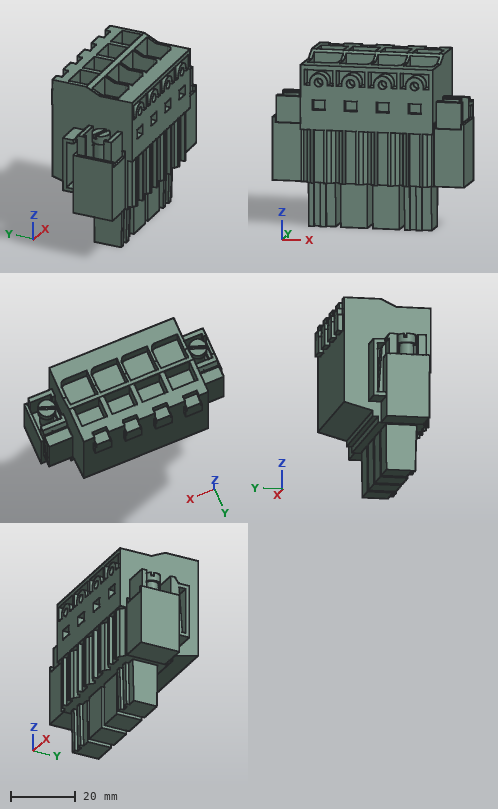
import cadquery as cq
import math


OVERALL_WIDTH = 60.9
POLES = 4
PITCH = 10.2
EPS = 0.6

HOUSING_WIDTH = 42.0
HOUSING_DEPTH = 27.4
HOUSING_BOTTOM = 14.5
FRONT_TOP = 51.6
REAR_TOP = 53.9
SLOPE_FRONT_Y = 10.95
SLOPE_REAR_Y = 15.8
FOOT_REAR_Y = 16.6
LEDGE_Z = 16.45
LEDGE_REAR_Y = 18.35
BEVEL_LOW_Z = 18.15
BEVEL_HIGH_Z = 20.6

WELL_FLOOR = 46.8
REAR_WELL_WIDTH = 8.45
REAR_WELL_Y = (15.9, 22.5)
FRONT_WELL_WIDTH = 9.25
FRONT_WELL_Y = (5.35, 14.25)
WELL_CORNER_RADIUS = 1.9

WINDOW_WIDTH = 9.1
WINDOW_BOTTOM = 45.3
WINDOW_TOP = 50.1
WINDOW_DEPTH = 4.25
BOSS_RADIUS = 2.8
BOSS_CENTRE_Z = 46.2
BOSS_HOLE_RADIUS = 1.3
SLOT_WIDTH = 4.1
SLOT_BOTTOM = 37.5
SLOT_TOP = 40.7
SLOT_DEPTH = 2.1

RIB_TOP = 31.25
RIB_WIDTH = 5.1
RIB_PANEL_WIDTH = 3.5
RIB_PANEL_DEPTH = 1.35
RIB_SIDE_DEPTH = 0.25
FLUTE_RADIUS = 1.3
FLUTE_RIM_DEPTH = 0.85
SHOULDER_WIDTH = 1.3

PLUG_WIDTH = 8.35
PLUG_REAR_Y = 13.9
PLUG_TIP_REAR_Y = 13.7
KEYED_PLUG_FRONT_Y = 4.2
KEYED_PLUG_TIP_FRONT_Y = 4.55
PLAIN_PLUG_FRONT_Y = 5.0
KEY_DEPTH = 1.05
KEY_GROOVE_X = (-2.55, -0.5)
KEY_STEP_X = 1.3

LEVER_OFFSET = -0.25
LEVER_STEM_WIDTH = 4.7
LEVER_PAD_WIDTH = 5.55
LEVER_FRONT_Y = 25.6
LEVER_REAR_Y = 28.9
LEVER_BOTTOM = 43.85
LEVER_PAD_TOP = 49.0
LEVER_TOP = 51.0

CUP_FRONT_Y = 2.3
CUP_REAR_Y = 15.8
CUP_TOP = 34.4
CUP_FRONT_TOP = 32.7
CUP_WALL = 0.85
CUP_OUTER_WALL = 1.0
TOWER_WIDTH = 8.05
TOWER_TOP = 41.0
LIP_WIDTH = 1.05
LIP_GAP_Y = (5.7, 12.2)
LIP_GAP_FLOOR = 32.7
CHANNEL_Y = (4.75, 13.2)
CHANNEL_FLOOR = 30.15
HOOK_Z = 39.35
HOOK_TOP_Y = 14.75
FRAME_REAR_Y = 19.8
FRAME_BAR = 1.3
FRAME_BOTTOM = 21.0
FRAME_TOP = 39.1
FRAME_TOP_FRONT_Y = 16.15
WEB_WIDTH = 3.05
WEB_FOOT_Y = 17.3

SCREW_Y = 8.6
SCREW_HEAD_RADIUS = 2.8
SCREW_SHANK_RADIUS = 2.2
SCREW_HEAD_BOTTOM = 38.75
SCREW_TOP = 41.55
SCREW_SLOT_WIDTH = 0.9
SCREW_SLOT_DEPTH = 1.1
SCREW_SLOT_ANGLE = -20.0

POLE_XS = [(i - (POLES - 1) / 2) * PITCH for i in range(POLES)]
GROOVE_XS = [(i - POLES / 2) * PITCH for i in range(POLES + 1)]
TOWER_X = OVERALL_WIDTH / 2 - CUP_OUTER_WALL - TOWER_WIDTH / 2


def block(x_range, y_range, z_range):
    """Box between two limits on each axis."""
    (x0, x1), (y0, y1), (z0, z1) = x_range, y_range, z_range
    return cq.Workplane("XY").box(x1 - x0, y1 - y0, z1 - z0, centered=False).translate((x0, y0, z0))


def span(centre, width):
    """Limits of a width centred on a place."""
    return centre - width / 2, centre + width / 2


def side_profile(points, x_range):
    """Prism with a (Y, Z) outline between two X limits."""
    x0, x1 = x_range
    return cq.Workplane("YZ", origin=(x0, 0, 0)).polyline(points).close().extrude(x1 - x0)


def housing_block():
    outline = [
        (0, HOUSING_BOTTOM),
        (0, FRONT_TOP),
        (SLOPE_FRONT_Y, FRONT_TOP),
        (SLOPE_REAR_Y, REAR_TOP),
        (HOUSING_DEPTH, REAR_TOP),
        (HOUSING_DEPTH, BEVEL_HIGH_Z),
        (LEDGE_REAR_Y, BEVEL_LOW_Z),
        (LEDGE_REAR_Y, LEDGE_Z),
        (FOOT_REAR_Y, LEDGE_Z),
        (FOOT_REAR_Y, HOUSING_BOTTOM),
    ]
    return side_profile(outline, span(0, HOUSING_WIDTH))


def top_wells(x):
    depth_range = (WELL_FLOOR, REAR_TOP + EPS)
    rear = block(span(x, REAR_WELL_WIDTH), REAR_WELL_Y, depth_range)
    front = block(span(x, FRONT_WELL_WIDTH), FRONT_WELL_Y, depth_range)
    front = front.edges("|Z and >X and <Y").fillet(WELL_CORNER_RADIUS)
    return rear.union(front)


def front_window(x):
    """Window with an arched boss left standing in its lower middle."""
    window = block(span(x, WINDOW_WIDTH), (-EPS, WINDOW_DEPTH), (WINDOW_BOTTOM, WINDOW_TOP))
    legs = block(span(x, 2 * BOSS_RADIUS), (-EPS, WINDOW_DEPTH), (WINDOW_BOTTOM - EPS, BOSS_CENTRE_Z))
    return window.cut(front_cylinder(x, BOSS_RADIUS)).cut(legs)


def front_cylinder(x, radius):
    """Cylinder about the boss axis, as deep as the window."""
    plane = cq.Workplane("XZ", origin=(x, -EPS, BOSS_CENTRE_Z))
    return plane.circle(radius).extrude(-(WINDOW_DEPTH + EPS))


def test_slot(x):
    return block(span(x, SLOT_WIDTH), (-EPS, SLOT_DEPTH), (SLOT_BOTTOM, SLOT_TOP))


def rib_groove(x):
    """Groove between two ribs: sloped shoulders, a flat flank on the left, a hollow flute on the right."""
    right = x + (PITCH - RIB_WIDTH) / 2
    left = x - (PITCH - RIB_WIDTH) / 2
    flute_right = right - SHOULDER_WIDTH
    flute_left = flute_right - FLUTE_RADIUS
    flute_bottom = FLUTE_RIM_DEPTH + FLUTE_RADIUS
    diagonal = FLUTE_RADIUS * math.sqrt(0.5)
    return (
        cq.Workplane("XY", origin=(0, 0, HOUSING_BOTTOM - EPS))
        .moveTo(right, -EPS)
        .lineTo(right, RIB_SIDE_DEPTH)
        .lineTo(flute_right, FLUTE_RIM_DEPTH)
        .threePointArc((flute_left + diagonal, FLUTE_RIM_DEPTH + diagonal), (flute_left, flute_bottom))
        .lineTo(left + SHOULDER_WIDTH, FLUTE_RIM_DEPTH)
        .lineTo(left, RIB_SIDE_DEPTH)
        .lineTo(left, -EPS)
        .close()
        .extrude(RIB_TOP - HOUSING_BOTTOM + EPS)
    )


def rib_panel(x):
    return block(span(x, RIB_PANEL_WIDTH), (-EPS, RIB_PANEL_DEPTH), (HOUSING_BOTTOM - EPS, RIB_TOP))


def plug(x, front_y, tip_front_y):
    outline = [
        (front_y, HOUSING_BOTTOM),
        (PLUG_REAR_Y, HOUSING_BOTTOM),
        (PLUG_TIP_REAR_Y, 0),
        (tip_front_y, 0),
    ]
    return side_profile(outline, span(x, PLUG_WIDTH))


def keyed_plug(x):
    """Plug whose front has a coding groove and a set-back right part."""
    body = plug(x, KEYED_PLUG_FRONT_Y, KEYED_PLUG_TIP_FRONT_Y)
    key_outline = [
        (0, HOUSING_BOTTOM),
        (KEYED_PLUG_FRONT_Y + KEY_DEPTH, HOUSING_BOTTOM),
        (KEYED_PLUG_TIP_FRONT_Y + KEY_DEPTH, 0),
        (0, 0),
    ]
    groove = side_profile(key_outline, (x + KEY_GROOVE_X[0], x + KEY_GROOVE_X[1]))
    step = side_profile(key_outline, (x + KEY_STEP_X, x + PLUG_WIDTH / 2 + EPS))
    return body.cut(groove).cut(step)


def lever_notch(x):
    """Notch in the top rear edge that holds a lever's stem."""
    stem_range = span(x + LEVER_OFFSET, LEVER_STEM_WIDTH)
    return block(stem_range, (LEVER_FRONT_Y, HOUSING_DEPTH + EPS), (LEVER_BOTTOM, REAR_TOP + EPS))


def make_housing():
    body = housing_block()
    for x in GROOVE_XS:
        body = body.cut(rib_groove(x))
    for x in POLE_XS:
        body = body.cut(top_wells(x)).cut(front_window(x)).cut(front_cylinder(x, BOSS_HOLE_RADIUS))
        body = body.cut(test_slot(x)).cut(rib_panel(x)).cut(lever_notch(x))
    for x in POLE_XS[1:-1]:
        body = body.union(plug(x, PLAIN_PLUG_FRONT_Y, PLAIN_PLUG_FRONT_Y))
    for x in (POLE_XS[0], POLE_XS[-1]):
        body = body.union(keyed_plug(x))
    return body


def make_lever(pole_x):
    """Stem filling the notch, with a wider finger pad behind the housing."""
    x = pole_x + LEVER_OFFSET
    stem = block(span(x, LEVER_STEM_WIDTH), (LEVER_FRONT_Y, LEVER_REAR_Y), (LEVER_BOTTOM, LEVER_TOP))
    pad = block(span(x, LEVER_PAD_WIDTH), (HOUSING_DEPTH, LEVER_REAR_Y), (LEVER_BOTTOM, LEVER_PAD_TOP))
    return stem.union(pad)


def flange_cup(side):
    """Block beside the housing, its front wall lowered in front of the tower."""
    inner_x = side * HOUSING_WIDTH / 2
    outer_x = side * OVERALL_WIDTH / 2
    cup_x = (min(inner_x, outer_x), max(inner_x, outer_x))
    cup = block(cup_x, (CUP_FRONT_Y, CUP_REAR_Y), (HOUSING_BOTTOM, CUP_TOP))
    front_y = (CUP_FRONT_Y - EPS, CUP_FRONT_Y + CUP_WALL)
    relief = block(span(side * TOWER_X, TOWER_WIDTH), front_y, (CUP_FRONT_TOP, CUP_TOP + EPS))
    return cup.cut(relief)


def flange_tower(tower_x):
    """Upright block with a hook along its rear top edge."""
    rear_y = CUP_REAR_Y - CUP_WALL
    outline = [
        (CUP_FRONT_Y + CUP_WALL, CHANNEL_FLOOR),
        (CUP_FRONT_Y + CUP_WALL, TOWER_TOP),
        (HOOK_TOP_Y, TOWER_TOP),
        (CUP_REAR_Y, HOOK_Z),
        (rear_y, HOOK_Z),
        (rear_y, CHANNEL_FLOOR),
    ]
    return side_profile(outline, tower_x)


def screw_channel(tower_x):
    """Vertical channel for the screw, narrowed by lips on its -X side."""
    left, right = tower_x
    wide = block((left + LIP_WIDTH, right), CHANNEL_Y, (CHANNEL_FLOOR, TOWER_TOP + EPS))
    gap = block((left, right), LIP_GAP_Y, (LIP_GAP_FLOOR, TOWER_TOP + EPS))
    return wide.union(gap)


def latch_frame(tower_x):
    """C-shaped frame behind the cup, open to the front at its top."""
    inner_y = FRAME_REAR_Y - FRAME_BAR
    outline = [
        (CUP_REAR_Y, FRAME_BOTTOM),
        (FRAME_REAR_Y, FRAME_BOTTOM),
        (FRAME_REAR_Y, FRAME_TOP),
        (FRAME_TOP_FRONT_Y, FRAME_TOP),
        (FRAME_TOP_FRONT_Y, FRAME_TOP - FRAME_BAR),
        (inner_y, FRAME_TOP - FRAME_BAR),
        (inner_y, FRAME_BOTTOM + FRAME_BAR),
        (CUP_REAR_Y, FRAME_BOTTOM + FRAME_BAR),
    ]
    return side_profile(outline, tower_x)


def latch_web(tower_x):
    """Tapered web inside the frame, next to its +X side, joining it to the tower."""
    right = tower_x[1]
    front_y = CUP_REAR_Y - CUP_WALL
    outline = [
        (front_y, FRAME_BOTTOM + FRAME_BAR),
        (WEB_FOOT_Y, FRAME_BOTTOM + FRAME_BAR),
        (FRAME_TOP_FRONT_Y, FRAME_TOP - FRAME_BAR),
        (FRAME_TOP_FRONT_Y, HOOK_Z),
        (front_y, HOOK_Z),
    ]
    return side_profile(outline, (right - WEB_WIDTH, right))


def make_flange(side):
    tower_x = span(side * TOWER_X, TOWER_WIDTH)
    body = flange_cup(side).union(flange_tower(tower_x)).cut(screw_channel(tower_x))
    return body.union(latch_frame(tower_x)).union(latch_web(tower_x))


def make_screw(side):
    """Slotted cheese-head screw standing on the channel floor."""
    shank = cq.Workplane("XY", origin=(0, 0, CHANNEL_FLOOR)).circle(SCREW_SHANK_RADIUS)
    shank = shank.extrude(SCREW_HEAD_BOTTOM - CHANNEL_FLOOR)
    head = cq.Workplane("XY", origin=(0, 0, SCREW_HEAD_BOTTOM)).circle(SCREW_HEAD_RADIUS)
    head = head.extrude(SCREW_TOP - SCREW_HEAD_BOTTOM)
    slot = block(
        span(0, 2 * (SCREW_HEAD_RADIUS + EPS)),
        span(0, SCREW_SLOT_WIDTH),
        (SCREW_TOP - SCREW_SLOT_DEPTH, SCREW_TOP + EPS),
    ).rotate((0, 0, 0), (0, 0, 1), SCREW_SLOT_ANGLE)
    return shank.union(head).cut(slot).translate((side * TOWER_X, SCREW_Y, 0))


housing = make_housing()
levers = [make_lever(x) for x in POLE_XS]
flanges = [make_flange(side) for side in (-1, 1)]
screws = [make_screw(side) for side in (-1, 1)]

result = cq.Compound.makeCompound(
    [housing.val()]
    + [lever.val() for lever in levers]
    + [flange.val() for flange in flanges]
    + [screw.val() for screw in screws]
)